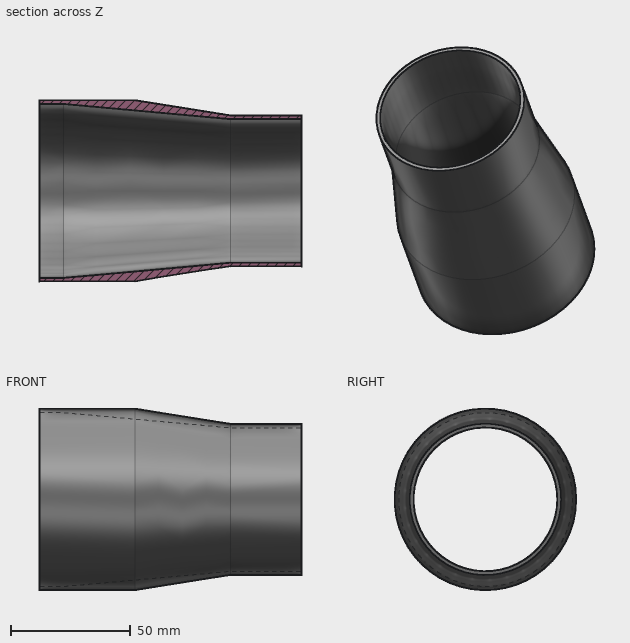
import cadquery as cq

total_length = 110.0
large_length = 40.0
taper_length = 40.0
large_diameter = 76.2
small_diameter = 63.5
wall = 1.6
bore_large_length = 10.0

taper_end = large_length + taper_length


def reducer_body(large_radius, small_radius, taper_start):
    """Solid of revolution about X: large cylinder, straight taper, small cylinder."""
    return (
        cq.Workplane("XY")
        .moveTo(0, 0)
        .lineTo(0, large_radius)
        .lineTo(taper_start, large_radius)
        .lineTo(taper_end, small_radius)
        .lineTo(total_length, small_radius)
        .lineTo(total_length, 0)
        .close()
        .revolve(360, (0, 0, 0), (1, 0, 0))
    )


outside = reducer_body(large_diameter / 2, small_diameter / 2, large_length)
bore = reducer_body(large_diameter / 2 - wall, small_diameter / 2 - wall, bore_large_length)

result = outside.cut(bore)